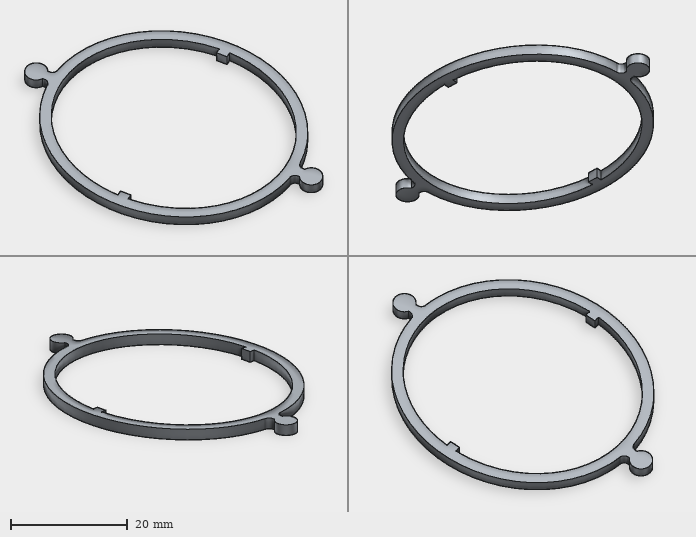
import cadquery as cq

overall_length = 57.0
overall_width = 42.0
thickness = 2.0
wall = 2.0
ring_length = 46.95
ball_radius = 2.0
neck_width = 1.95
neck_fillet = 1.0
tab_width = 2.0
tab_height = 1.0

outer_x = ring_length / 2
outer_y = overall_width / 2
inner_x = outer_x - wall
inner_y = outer_y - wall
ball_center = overall_length / 2 - ball_radius


def elliptical_disc(semi_x, semi_y):
    return cq.Workplane("XY").ellipse(semi_x, semi_y).extrude(thickness)


def bar(length, width, center_x, center_y):
    return cq.Workplane("XY").center(center_x, center_y).rect(length, width).extrude(thickness)


body = elliptical_disc(outer_x, outer_y).union(bar(2 * ball_center, neck_width, 0, 0))

neck_corners = cq.selectors.BoxSelector(
    (-outer_x - neck_fillet, -neck_width, thickness / 4),
    (outer_x + neck_fillet, neck_width, thickness * 3 / 4),
)
body = body.edges(neck_corners).fillet(neck_fillet)

body = body.cut(elliptical_disc(inner_x, inner_y))

balls = (
    cq.Workplane("XY")
    .pushPoints([(-ball_center, 0), (ball_center, 0)])
    .circle(ball_radius)
    .extrude(thickness)
)
body = body.union(balls)

tab_root = inner_y + wall / 2
tab_tip = inner_y - tab_height
for side in (-1, 1):
    body = body.union(bar(tab_width, tab_root - tab_tip, 0, side * (tab_root + tab_tip) / 2))

result = body